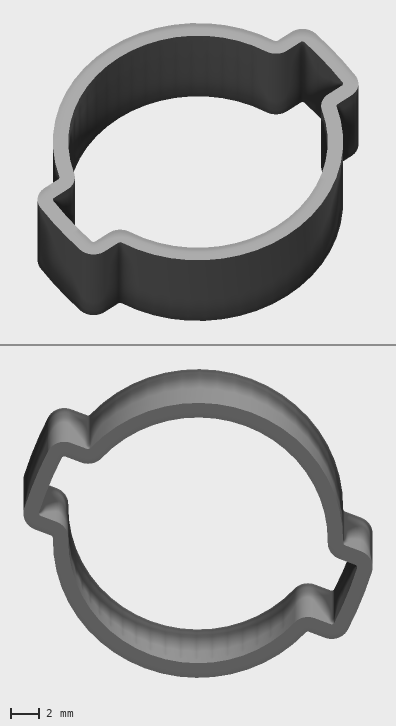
import cadquery as cq

length = 25.0
ring_diameter = 20.7
height = 7.5
wall = 1.1

ear_width = 7.0
crown_radius = 30.0
tight_bend = 0.2
wide_bend = tight_bend + wall


def ear_block(inset):
    """Solid through both ears, its sides and bowed ends moved inward by inset."""
    width = ear_width - 2 * inset
    block = cq.Workplane("XY").box(width, length, height, centered=(True, True, False))
    for side in (1, -1):
        crown_center = side * (length / 2 - crown_radius)
        crown = cq.Workplane("XY").center(0, crown_center).circle(crown_radius - inset).extrude(height)
        block = block.intersect(crown)
    return block


def filled_outline(inset, corner_radius, root_radius):
    """Ring disc joined to both ears, with rounded ear corners and ear roots."""
    disc = cq.Workplane("XY").circle(ring_diameter / 2 - inset).extrude(height)
    ears = ear_block(inset).edges("|Z").fillet(corner_radius)
    root_reach = ear_width / 2 + wall
    root_zone = cq.selectors.BoxSelector(
        (-root_reach, -ring_diameter / 2, -height),
        (root_reach, ring_diameter / 2, 2 * height),
    )
    return disc.union(ears).edges("|Z").edges(root_zone).fillet(root_radius)


outside = filled_outline(0, wide_bend, tight_bend)
bore = filled_outline(wall, tight_bend, wide_bend)

result = outside.cut(bore)